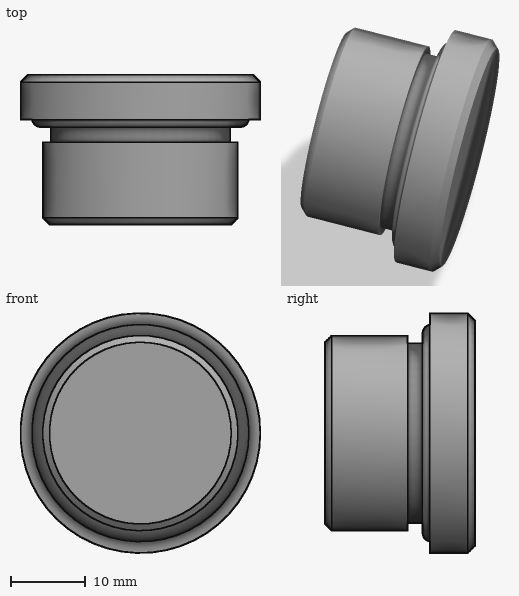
import cadquery as cq

flange_diameter = 32.0
shank_diameter = 26.0
neck_diameter = 24.0
total_length = 20.0
shank_length = 11.0
flange_thickness = 6.0
flange_chamfer = 1.0
shank_chamfer = 0.9

seal_tube_radius = 1.25
seal_protrusion = 1.0
seal_centre_radius = neck_diameter / 2 + seal_tube_radius

flange_face_y = total_length - flange_thickness
seal_centre_y = flange_face_y - seal_protrusion + seal_tube_radius


def cylinder_along_y(diameter, start_y, end_y):
    length = end_y - start_y
    return cq.Workplane("XZ", origin=(0, start_y, 0)).circle(diameter / 2).extrude(-length)


def make_seal():
    return (
        cq.Workplane("XY")
        .center(seal_centre_radius, seal_centre_y)
        .circle(seal_tube_radius)
        .revolve(360, (-seal_centre_radius, 0), (-seal_centre_radius, 1))
    )


shank = cylinder_along_y(shank_diameter, 0, shank_length).faces("<Y").chamfer(shank_chamfer)
neck = cylinder_along_y(neck_diameter, shank_length, flange_face_y)
flange = cylinder_along_y(flange_diameter, flange_face_y, total_length).faces(">Y").chamfer(flange_chamfer)

result = shank.union(neck).union(flange).union(make_seal())